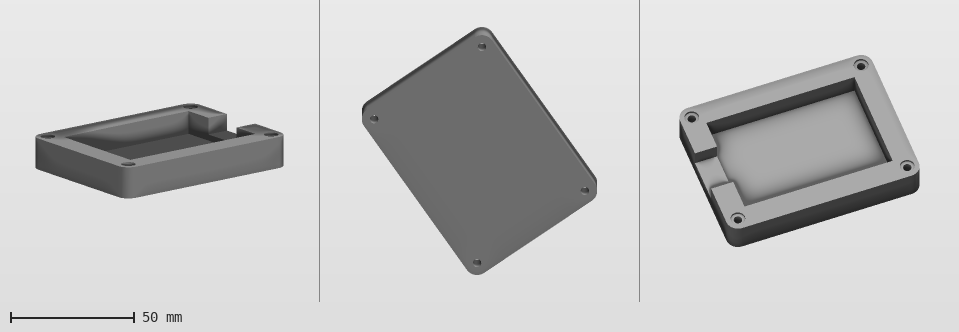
import cadquery as cq

width = 62.85
length = 82.9
height = 13.0
corner_radius = 5.0

wall = 9.5
floor = 3.5
pocket_width = width - 2 * wall
pocket_length = length - 2 * wall

notch_width = 18.5
notch_depth = 7.0
notch_left_offset = 22.5

hole_diameter = 3.4
counterbore_diameter = 6.0
counterbore_depth = 1.0


def make_block():
    """Plate with rounded vertical corners, resting on Z = 0."""
    block = cq.Workplane("XY").box(width, length, height, centered=(True, True, False))
    return block.edges("|Z").fillet(corner_radius)


def make_pocket():
    """Sharp-cornered rectangular cavity above the floor."""
    pocket = cq.Workplane("XY").workplane(offset=floor)
    return pocket.rect(pocket_width, pocket_length).extrude(height - floor)


def make_notch():
    """Opening that joins the pocket to the +Y side."""
    notch_center_x = -width / 2 + notch_left_offset + notch_width / 2
    notch_center_y = length / 2 - wall / 2
    notch = cq.Workplane("XY").workplane(offset=height - notch_depth)
    return notch.center(notch_center_x, notch_center_y).rect(notch_width, wall).extrude(notch_depth)


def cut_screw_holes(body):
    """Counterbored through holes at the four corner centres."""
    spacing_x = width - 2 * corner_radius
    spacing_y = length - 2 * corner_radius
    top = body.faces(">Z").workplane(origin=(0, 0, height))
    return top.rect(spacing_x, spacing_y, forConstruction=True).vertices().cboreHole(
        hole_diameter, counterbore_diameter, counterbore_depth
    )


result = cut_screw_holes(make_block().cut(make_pocket()).cut(make_notch()))